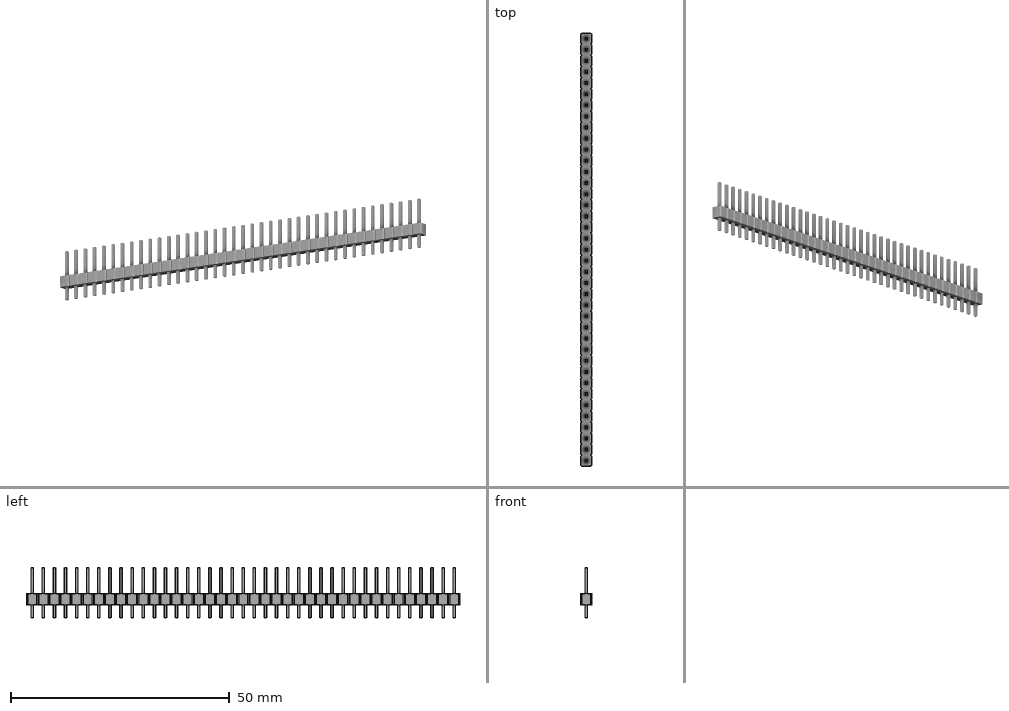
import cadquery as cq

pin_count = 39
header_length = 99.1
overall_height = 11.5
pitch = header_length / pin_count

housing_width = pitch
housing_height = pitch
corner_chamfer = 0.25

pin_width = 0.63
pin_drop = 3.0
tip_inset = 0.15
tip_height = 0.12

first_pin_y = -(pin_count - 1) / 2 * pitch


def housing_segment():
    """One pitch of the housing: a block with its four upright corners chamfered."""
    return (
        cq.Workplane("XY")
        .box(housing_width, pitch, housing_height, centered=(True, True, False))
        .edges("|Z")
        .chamfer(corner_chamfer)
    )


def pin_tip(base_z, direction):
    """Blunt four-sided taper from base_z, pointing up (+1) or down (-1)."""
    tip_width = pin_width - 2 * tip_inset
    return (
        cq.Workplane("XY", origin=(0, 0, base_z))
        .rect(pin_width, pin_width)
        .workplane(offset=direction * tip_height)
        .rect(tip_width, tip_width)
        .loft(ruled=True)
    )


def pin():
    """Square pin running through the housing, tapered at both tips."""
    lower_z = -pin_drop + tip_height
    upper_z = overall_height - pin_drop - tip_height
    shank = (
        cq.Workplane("XY", origin=(0, 0, lower_z))
        .rect(pin_width, pin_width)
        .extrude(upper_z - lower_z)
    )
    return shank.union(pin_tip(lower_z, -1)).union(pin_tip(upper_z, 1))


contact = housing_segment().union(pin()).val()
contacts = [
    contact.translate(cq.Vector(0, first_pin_y + i * pitch, 0))
    for i in range(pin_count)
]
result = cq.Workplane("XY").newObject([contacts[0].fuse(*contacts[1:]).clean()])